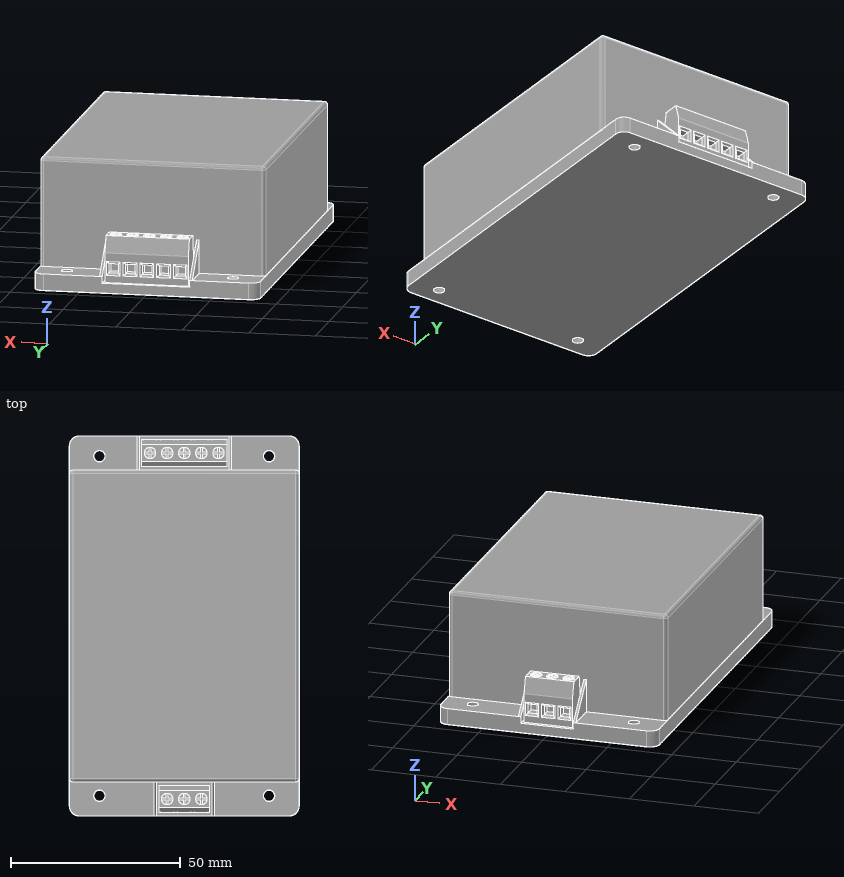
import cadquery as cq

LENGTH = 112.0
WIDTH = 67.8
HEIGHT = 38.0

BASE_THICKNESS = 5.0
BASE_CORNER_RADIUS = 3.0
HOLE_DIAMETER = 3.2
HOLE_SPACING_X = 50.0
HOLE_SPACING_Y = 100.0

HOUSING_WIDTH = 67.6
HOUSING_LENGTH = 91.8
HOUSING_FILLET = 1.0

POLE_PITCH = 5.0
RECESS_FLOOR = 3.0
BLOCK_TRIM = 0.1
SIDE_GAP = 0.62
WALL_THICKNESS = 0.8

BLOCK_FRONT = 54.9
BLOCK_TOP_FRONT = 53.4
BLOCK_TOP_BACK = 48.5
BLOCK_BACK = 47.0
BLOCK_FRONT_SHOULDER = 12.0
BLOCK_BACK_SHOULDER = 7.8
BLOCK_TOP = 16.9

OPENING_SIZE = 4.1
OPENING_CHAMFER = 0.7
OPENING_DEPTH = 3.4
OPENING_CENTRE_HEIGHT = 7.3

SCREW_DIAMETER = 3.4
SCREW_RECESS = 0.3
SLOT_WIDTH = 0.6
SLOT_DEPTH = 0.7

FRONT_POLES = 3
REAR_POLES = 5


def make_base():
    return (
        cq.Workplane("XY")
        .box(WIDTH, LENGTH, BASE_THICKNESS, centered=(True, True, False))
        .edges("|Z")
        .fillet(BASE_CORNER_RADIUS)
        .faces(">Z")
        .workplane()
        .rect(HOLE_SPACING_X, HOLE_SPACING_Y, forConstruction=True)
        .vertices()
        .hole(HOLE_DIAMETER)
    )


def make_housing():
    housing_height = HEIGHT - BASE_THICKNESS
    return (
        cq.Workplane("XY", origin=(0, 0, BASE_THICKNESS))
        .box(HOUSING_WIDTH, HOUSING_LENGTH, housing_height, centered=(True, True, False))
        .edges("|Z or >Z")
        .fillet(HOUSING_FILLET)
    )


def extrude_across(points, thickness, centre_x=0):
    """Extrude a (Y, Z) outline along X, centred on centre_x."""
    return (
        cq.Workplane("YZ", origin=(centre_x, 0, 0))
        .polyline(points)
        .close()
        .extrude(thickness / 2, both=True)
    )


def block_width(poles):
    return poles * POLE_PITCH - BLOCK_TRIM


def recess_width(poles):
    return block_width(poles) + 2 * SIDE_GAP


def make_recess(poles):
    """Pocket in the base, open at the +Y edge."""
    housing_face = HOUSING_LENGTH / 2
    recess_length = LENGTH / 2 - housing_face
    recess_depth = BASE_THICKNESS - RECESS_FLOOR
    return cq.Workplane("XY", origin=(0, housing_face, RECESS_FLOOR)).box(
        recess_width(poles), recess_length, recess_depth, centered=(True, False, False)
    )


def make_side_walls(poles):
    """Two 45-degree triangular walls from the housing to the +Y edge of the base."""
    edge = LENGTH / 2
    housing_face = HOUSING_LENGTH / 2
    wall_top = BASE_THICKNESS + edge - housing_face
    outline = [
        (edge, BASE_THICKNESS),
        (housing_face, wall_top),
        (housing_face - WALL_THICKNESS, wall_top),
        (housing_face - WALL_THICKNESS, RECESS_FLOOR),
        (edge, RECESS_FLOOR),
    ]
    offset = (recess_width(poles) + WALL_THICKNESS) / 2
    left_wall = extrude_across(outline, WALL_THICKNESS, -offset)
    return left_wall.union(extrude_across(outline, WALL_THICKNESS, offset))


def cut_wire_opening(block, x):
    """Square opening in the +Y face with a chamfered mouth."""
    inner_size = OPENING_SIZE - 2 * OPENING_CHAMFER
    face = cq.Workplane("XZ", origin=(x, BLOCK_FRONT, OPENING_CENTRE_HEIGHT))
    mouth = (
        face.rect(OPENING_SIZE, OPENING_SIZE)
        .workplane(offset=OPENING_CHAMFER)
        .rect(inner_size, inner_size)
        .loft(ruled=True)
    )
    pocket = face.rect(inner_size, inner_size).extrude(OPENING_DEPTH)
    return block.cut(mouth).cut(pocket)


def cut_screw(block, x):
    """Sunken round screw head with a cross slot."""
    y = (BLOCK_TOP_FRONT + BLOCK_TOP_BACK) / 2
    top = cq.Workplane("XY", origin=(x, y, BLOCK_TOP))
    slot_bottom = SCREW_RECESS + SLOT_DEPTH
    head = top.circle(SCREW_DIAMETER / 2).extrude(-SCREW_RECESS)
    cross = (
        top.rect(SCREW_DIAMETER, SLOT_WIDTH)
        .extrude(-slot_bottom)
        .union(top.rect(SLOT_WIDTH, SCREW_DIAMETER).extrude(-slot_bottom))
        .intersect(top.circle(SCREW_DIAMETER / 2).extrude(-slot_bottom))
    )
    return block.cut(head).cut(cross)


def make_terminal_block(poles):
    outline = [
        (BLOCK_FRONT, RECESS_FLOOR),
        (BLOCK_FRONT, BLOCK_FRONT_SHOULDER),
        (BLOCK_TOP_FRONT, BLOCK_TOP),
        (BLOCK_TOP_BACK, BLOCK_TOP),
        (BLOCK_BACK, BLOCK_BACK_SHOULDER),
        (BLOCK_BACK, RECESS_FLOOR),
    ]
    block = extrude_across(outline, block_width(poles))
    for pole in range(poles):
        x = (pole - (poles - 1) / 2) * POLE_PITCH
        block = cut_wire_opening(block, x)
        block = cut_screw(block, x)
    return block


def add_terminal(body, poles, angle):
    """Add a terminal at the +Y end, turned by angle about Z."""
    axis = ((0, 0, 0), (0, 0, 1), angle)
    return (
        body.cut(make_recess(poles).rotate(*axis))
        .union(make_side_walls(poles).rotate(*axis))
        .union(make_terminal_block(poles).rotate(*axis))
    )


result = make_base().union(make_housing())
result = add_terminal(result, REAR_POLES, 0)
result = add_terminal(result, FRONT_POLES, 180)